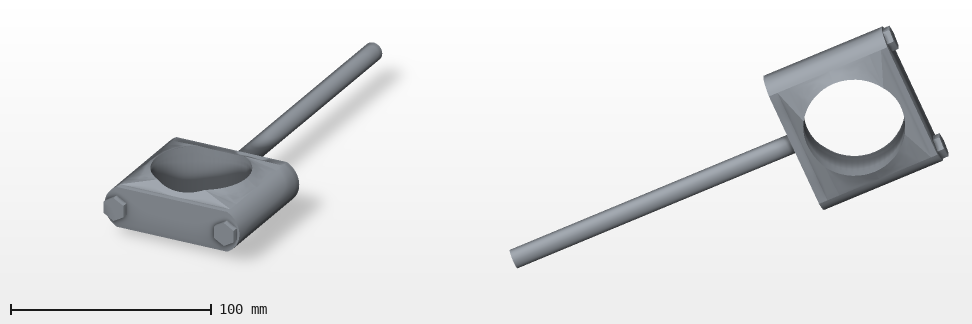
import cadquery as cq
import math

WIDTH = 75.85
BODY_HEIGHT = 22.0
FLAT_HALF_WIDTH = 31.0
BORE_RADIUS = 25.4
BACK_Y = 32.8
FRONT_Y = -31.7

OVERALL_HEIGHT = 29.84
PAD_FOOT_Y = 28.2
PAD_CREST_Y = 21.7

ROD_DIAMETER = 10.0
OVERALL_LENGTH = 220.58

HEAD_ACROSS_FLATS = 11.0
HEAD_HEIGHT = 3.5
HEAD_SIDES = 6

BODY_TOP = BODY_HEIGHT / 2
PAD_TOP = OVERALL_HEIGHT / 2
HALF_SECTOR = 180 / HEAD_SIDES
PAD_CREST_X = math.sqrt(BORE_RADIUS**2 - PAD_CREST_Y**2)
ROD_END_Y = FRONT_Y - HEAD_HEIGHT + OVERALL_LENGTH


def clamp_body():
    """Flat bar with an arc at each end, extruded along Y."""
    return (
        cq.Workplane("XZ", origin=(0, BACK_Y, 0))
        .moveTo(-FLAT_HALF_WIDTH, BODY_TOP)
        .lineTo(FLAT_HALF_WIDTH, BODY_TOP)
        .threePointArc((WIDTH / 2, 0), (FLAT_HALF_WIDTH, -BODY_TOP))
        .lineTo(-FLAT_HALF_WIDTH, -BODY_TOP)
        .threePointArc((-WIDTH / 2, 0), (-FLAT_HALF_WIDTH, BODY_TOP))
        .close()
        .extrude(BACK_Y - FRONT_Y)
    )


def pad_middle():
    """Ruled block from straight side edges up to the bore rim, split at Y = 0."""
    half_angle = math.atan2(PAD_CREST_Y, PAD_CREST_X) / 2
    arc_x = BORE_RADIUS * math.cos(half_angle)
    arc_y = BORE_RADIUS * math.sin(half_angle)
    foot = (
        cq.Workplane("XY", origin=(0, 0, BODY_TOP))
        .moveTo(FLAT_HALF_WIDTH, -PAD_CREST_Y)
        .lineTo(FLAT_HALF_WIDTH, 0)
        .lineTo(FLAT_HALF_WIDTH, PAD_CREST_Y)
        .lineTo(-FLAT_HALF_WIDTH, PAD_CREST_Y)
        .lineTo(-FLAT_HALF_WIDTH, 0)
        .lineTo(-FLAT_HALF_WIDTH, -PAD_CREST_Y)
        .close()
    )
    rim = (
        cq.Workplane("XY", origin=(0, 0, PAD_TOP))
        .moveTo(PAD_CREST_X, -PAD_CREST_Y)
        .threePointArc((arc_x, -arc_y), (BORE_RADIUS, 0))
        .threePointArc((arc_x, arc_y), (PAD_CREST_X, PAD_CREST_Y))
        .lineTo(-PAD_CREST_X, PAD_CREST_Y)
        .threePointArc((-arc_x, arc_y), (-BORE_RADIUS, 0))
        .threePointArc((-arc_x, -arc_y), (-PAD_CREST_X, -PAD_CREST_Y))
        .close()
    )
    return cq.Workplane(cq.Solid.makeLoft([foot.val(), rim.val()], True))


def pad_end():
    """Wedge sloping down from the crest to the foot at the +Y end of a pad."""
    foot_inner_right = (FLAT_HALF_WIDTH, PAD_CREST_Y, BODY_TOP)
    foot_inner_left = (-FLAT_HALF_WIDTH, PAD_CREST_Y, BODY_TOP)
    foot_outer_right = (FLAT_HALF_WIDTH, PAD_FOOT_Y, BODY_TOP)
    foot_outer_left = (-FLAT_HALF_WIDTH, PAD_FOOT_Y, BODY_TOP)
    crest_right = (PAD_CREST_X, PAD_CREST_Y, PAD_TOP)
    crest_left = (-PAD_CREST_X, PAD_CREST_Y, PAD_TOP)
    outlines = [
        [foot_inner_right, foot_inner_left, foot_outer_left, foot_outer_right],
        [foot_inner_right, foot_inner_left, crest_left, crest_right],
        [foot_outer_right, foot_outer_left, crest_left, crest_right],
        [foot_inner_right, foot_outer_right, crest_right],
        [foot_inner_left, foot_outer_left, crest_left],
    ]
    faces = []
    for outline in outlines:
        corners = [cq.Vector(*corner) for corner in outline]
        faces.append(cq.Face.makeFromWires(cq.Wire.makePolygon(corners, close=True)))
    return cq.Workplane(cq.Solid.makeSolid(cq.Shell.makeShell(faces)))


def pad():
    """Complete pad on top of the body."""
    end = pad_end()
    return pad_middle().union(end).union(end.mirror("XZ"))


def rod():
    """Round rod along +Y from the back of the body."""
    return (
        cq.Workplane("XZ", origin=(0, BACK_Y, 0))
        .circle(ROD_DIAMETER / 2)
        .extrude(BACK_Y - ROD_END_Y)
    )


def bolt_heads():
    """Two hexagonal heads on the front face, each with a corner pointing up."""
    corner_diameter = HEAD_ACROSS_FLATS / math.cos(math.radians(HALF_SECTOR))
    heads = cq.Workplane()
    for bolt_x in (-FLAT_HALF_WIDTH, FLAT_HALF_WIDTH):
        head = (
            cq.Workplane("XZ", origin=(bolt_x, FRONT_Y, 0))
            .transformed(rotate=(0, 0, HALF_SECTOR))
            .polygon(HEAD_SIDES, corner_diameter)
            .extrude(HEAD_HEIGHT)
        )
        heads = heads.add(head)
    return heads


def bore():
    """Through hole for the clamped tube."""
    return (
        cq.Workplane("XY", origin=(0, 0, -PAD_TOP))
        .circle(BORE_RADIUS)
        .extrude(OVERALL_HEIGHT)
    )


top_pad = pad()
result = (
    clamp_body()
    .union(top_pad)
    .union(top_pad.mirror("XY"))
    .cut(bore())
    .union(rod())
    .union(bolt_heads())
)